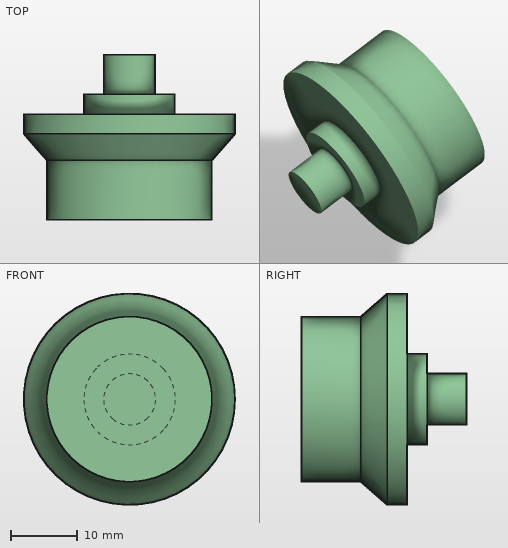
import cadquery as cq

flange_diameter = 32.0
body_diameter = 25.0
collar_diameter = 13.8
stem_diameter = 7.8

total_length = 25.0
body_length = 9.0
cone_length = 4.0
flange_thickness = 3.0
collar_thickness = 3.0

cone_start = body_length
flange_start = cone_start + cone_length
collar_start = flange_start + flange_thickness
stem_start = collar_start + collar_thickness

half_section = (
    cq.Workplane("XY")
    .lineTo(body_diameter / 2, 0)
    .lineTo(body_diameter / 2, cone_start)
    .lineTo(flange_diameter / 2, flange_start)
    .lineTo(flange_diameter / 2, collar_start)
    .lineTo(collar_diameter / 2, collar_start)
    .lineTo(collar_diameter / 2, stem_start)
    .lineTo(stem_diameter / 2, stem_start)
    .lineTo(stem_diameter / 2, total_length)
    .lineTo(0, total_length)
    .close()
)

result = half_section.revolve(360, (0, 0, 0), (0, 1, 0))